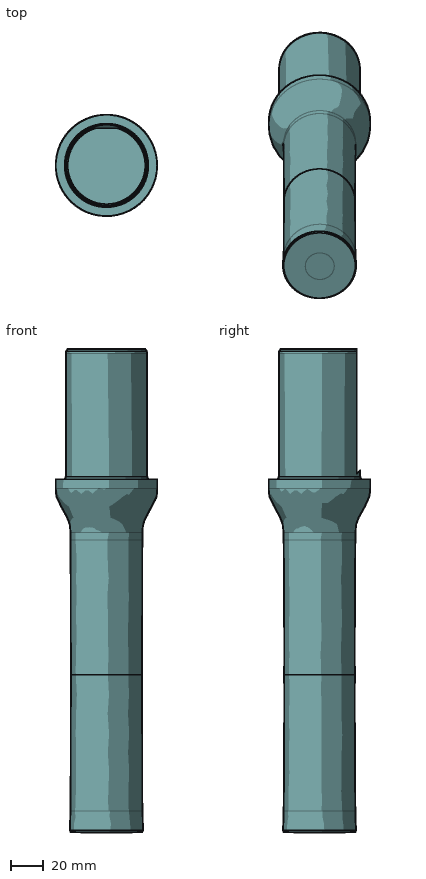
import cadquery as cq

TOTAL_HEIGHT = 297.0
TIP_HEIGHT = 0.5
RIM_TOP = 1.8
HEAD_FLARE_TOP = 13.7
JOINT_HEIGHT = 97.0
NECK_TAPER_TOP = 180.0
NECK_TOP = 184.5
COLLAR_BOTTOM = 211.5
COLLAR_TOP = 217.0
SHANK_BASE_TOP = 218.5

JOINT_DIAMETER = 43.7
RIM_DIAMETER = 45.0
RIM_CHAMFER = 0.5
TIP_DIAMETER = 17.8
NECK_DIAMETER = 44.3
COLLAR_DIAMETER = 62.5
SHANK_BASE_DIAMETER = 51.5
SHANK_DIAMETER = 50.0

SHANK_CHAMFER_WIDTH = 1.2
SHANK_CHAMFER_HEIGHT = 2.7
SHANK_BREAK_DIAMETER = 49.5
SHANK_BREAK_DEPTH = 1.5
FLAT_OFFSET = 23.0
FLAT_BOTTOM = 220.5

FLARE_SHARES = [(0.12, 0.25), (0.5, 0.5), (0.88, 0.75), (1, 1)]

JOINT_RADIUS = JOINT_DIAMETER / 2
RIM_RADIUS = RIM_DIAMETER / 2
NECK_RADIUS = NECK_DIAMETER / 2
COLLAR_RADIUS = COLLAR_DIAMETER / 2
SHANK_BASE_RADIUS = SHANK_BASE_DIAMETER / 2
SHANK_RADIUS = SHANK_DIAMETER / 2


def revolve_profile(profile):
    """Close a radius/height profile and turn it about the Z axis."""
    return profile.close().revolve(360, (0, 0, 0), (0, 1, 0))


def make_head():
    """Lower head, slightly tapered toward the joint, with a slightly flared, chamfered end."""
    profile = (
        cq.Workplane("XZ")
        .moveTo(0, 0)
        .lineTo(TIP_DIAMETER / 2, 0)
        .lineTo(RIM_RADIUS - RIM_CHAMFER, TIP_HEIGHT)
        .lineTo(RIM_RADIUS, RIM_TOP)
        .lineTo(NECK_RADIUS, HEAD_FLARE_TOP)
        .lineTo(JOINT_RADIUS, JOINT_HEIGHT)
        .lineTo(0, JOINT_HEIGHT)
    )
    return revolve_profile(profile)


def make_flat_cutter():
    """Prism that cuts the shank flat and its 45 degree run-out."""
    outer_offset = COLLAR_RADIUS
    runout_top = FLAT_BOTTOM + outer_offset - FLAT_OFFSET
    return (
        cq.Workplane("YZ")
        .moveTo(FLAT_OFFSET, FLAT_BOTTOM)
        .lineTo(outer_offset, runout_top)
        .lineTo(outer_offset, TOTAL_HEIGHT)
        .lineTo(FLAT_OFFSET, TOTAL_HEIGHT)
        .close()
        .extrude(SHANK_RADIUS, both=True)
    )


def make_holder():
    """Tapered neck, S-shaped flare, collar and clamping shank."""
    axial_direction = (0, 1)
    flare_points = [
        (
            NECK_RADIUS + width_share * (COLLAR_RADIUS - NECK_RADIUS),
            NECK_TOP + height_share * (COLLAR_BOTTOM - NECK_TOP),
        )
        for width_share, height_share in FLARE_SHARES
    ]

    profile = (
        cq.Workplane("XZ")
        .moveTo(0, JOINT_HEIGHT)
        .lineTo(JOINT_RADIUS, JOINT_HEIGHT)
        .lineTo(NECK_RADIUS, NECK_TAPER_TOP)
        .lineTo(NECK_RADIUS, NECK_TOP)
        .spline(
            flare_points,
            tangents=[axial_direction, axial_direction],
            includeCurrent=True,
        )
        .lineTo(COLLAR_RADIUS, COLLAR_TOP)
        .lineTo(SHANK_BASE_RADIUS, COLLAR_TOP)
        .lineTo(SHANK_RADIUS, SHANK_BASE_TOP)
        .lineTo(SHANK_RADIUS, TOTAL_HEIGHT - SHANK_CHAMFER_HEIGHT)
        .lineTo(SHANK_BREAK_DIAMETER / 2, TOTAL_HEIGHT - SHANK_BREAK_DEPTH)
        .lineTo(SHANK_RADIUS - SHANK_CHAMFER_WIDTH, TOTAL_HEIGHT)
        .lineTo(0, TOTAL_HEIGHT)
    )
    return revolve_profile(profile).cut(make_flat_cutter())


head = make_head()
holder = make_holder()

result = cq.Compound.makeCompound([head.val(), holder.val()])